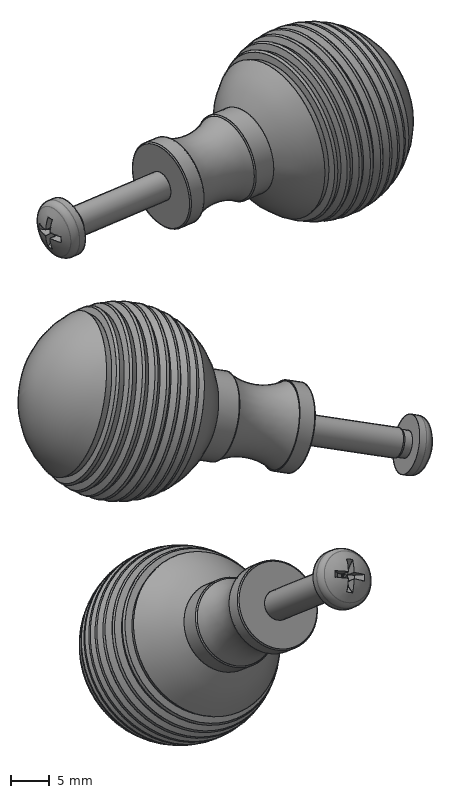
import cadquery as cq
import math


BALL_RADIUS = 13.05
BALL_CENTER = 25.6
COLLAR_RADIUS = 6.0
COLLAR_BOTTOM = 10.9
BASE_HEIGHT = 2.3
EDGE_CHAMFER = 0.2
WAIST_RADIUS = 4.8

GROOVE_COUNT = 9
GROOVE_PITCH_ANGLE = 7.5
GROOVE_MOUTH_HALF_ANGLE = 2.8
GROOVE_BOTTOM_RADIUS = 12.35
CUT_CLEARANCE = 0.3

SHANK_RADIUS = 2.0
SHANK_EMBEDMENT = 9.0
SHANK_LENGTH = 14.6
UNDERCUT_RADIUS = 1.85
UNDERCUT_TAPER = 0.3
HEAD_UNDERSIDE = -16.0
HEAD_RADIUS = 4.0
HEAD_TOP = -19.1
DOME_RADIUS = 6.0
HEAD_FILLET = 1.25

RECESS_REACH = 2.25
RECESS_WIDTH = 0.85
RECESS_MOUTH_DEPTH = 0.4
RECESS_STEP_REACH = 1.25
RECESS_STEP_DEPTH = 1.45
RECESS_DEPTH = 1.9


def revolve_about_y(profile):
    return profile.close().revolve(360, (0, 0, 0), (0, 1, 0))


def ball_point(radius, angle):
    """Point in the XY plane, with the angle measured from the ball's equator."""
    angle = math.radians(angle)
    return radius * math.cos(angle), BALL_CENTER + radius * math.sin(angle)


def make_plain_knob():
    neck_angle = -math.degrees(math.acos(COLLAR_RADIUS / BALL_RADIUS))
    chamfered_radius = COLLAR_RADIUS - EDGE_CHAMFER
    waist_height = (BASE_HEIGHT + COLLAR_BOTTOM) / 2
    profile = (
        cq.Workplane("XY")
        .lineTo(chamfered_radius, 0)
        .lineTo(COLLAR_RADIUS, EDGE_CHAMFER)
        .lineTo(COLLAR_RADIUS, BASE_HEIGHT)
        .lineTo(chamfered_radius, BASE_HEIGHT)
        .threePointArc((WAIST_RADIUS, waist_height), (chamfered_radius, COLLAR_BOTTOM))
        .lineTo(COLLAR_RADIUS, COLLAR_BOTTOM + EDGE_CHAMFER)
        .lineTo(*ball_point(BALL_RADIUS, neck_angle))
        .threePointArc(ball_point(BALL_RADIUS, 0), ball_point(BALL_RADIUS, 90))
    )
    return revolve_about_y(profile)


def make_groove_cutter(angle):
    """Ring with a V section that points at the center of the ball."""
    lower_mouth = ball_point(BALL_RADIUS, angle - GROOVE_MOUTH_HALF_ANGLE)
    upper_mouth = ball_point(BALL_RADIUS, angle + GROOVE_MOUTH_HALF_ANGLE)
    profile = (
        cq.Workplane("XY")
        .moveTo(*ball_point(GROOVE_BOTTOM_RADIUS, angle))
        .lineTo(*lower_mouth)
        .lineTo(*ball_point(BALL_RADIUS + CUT_CLEARANCE, angle))
        .lineTo(*upper_mouth)
    )
    return revolve_about_y(profile)


def make_screw_hole():
    profile = cq.Workplane("XY").rect(SHANK_RADIUS, SHANK_EMBEDMENT, centered=False)
    return profile.revolve(360, (0, 0, 0), (0, 1, 0))


def make_knob():
    knob = make_plain_knob()
    for index in range(GROOVE_COUNT):
        angle = (index - (GROOVE_COUNT - 1) / 2) * GROOVE_PITCH_ANGLE
        knob = knob.cut(make_groove_cutter(angle))
    return knob.cut(make_screw_hole())


def make_shank():
    profile = (
        cq.Workplane("XY")
        .moveTo(0, SHANK_EMBEDMENT)
        .lineTo(SHANK_RADIUS, SHANK_EMBEDMENT)
        .lineTo(SHANK_RADIUS, -SHANK_LENGTH)
        .lineTo(UNDERCUT_RADIUS, -SHANK_LENGTH - UNDERCUT_TAPER)
        .lineTo(UNDERCUT_RADIUS, HEAD_UNDERSIDE)
        .lineTo(0, HEAD_UNDERSIDE)
    )
    return revolve_about_y(profile)


def make_head():
    """Pan head: the rim fillet is tangent to both the side and the spherical dome."""
    dome_center = HEAD_TOP + DOME_RADIUS
    fillet_x = HEAD_RADIUS - HEAD_FILLET
    center_distance = DOME_RADIUS - HEAD_FILLET
    fillet_drop = math.sqrt(center_distance**2 - fillet_x**2)
    tangent_ratio = DOME_RADIUS / center_distance
    dome_edge = (fillet_x * tangent_ratio, dome_center - fillet_drop * tangent_ratio)
    profile = (
        cq.Workplane("XY")
        .moveTo(0, HEAD_UNDERSIDE)
        .lineTo(HEAD_RADIUS, HEAD_UNDERSIDE)
        .lineTo(HEAD_RADIUS, dome_center - fillet_drop)
        .tangentArcPoint(dome_edge, relative=False)
        .tangentArcPoint((0, HEAD_TOP), relative=False)
    )
    return revolve_about_y(profile)


def make_cross_recess():
    """Two crossed slots whose arms slope down steeply, then gently to a point."""
    mouth = HEAD_TOP + RECESS_MOUTH_DEPTH
    step = HEAD_TOP + RECESS_STEP_DEPTH
    slot = (
        cq.Workplane("XY")
        .moveTo(-RECESS_REACH, HEAD_TOP)
        .lineTo(-RECESS_REACH, mouth)
        .lineTo(-RECESS_STEP_REACH, step)
        .lineTo(0, HEAD_TOP + RECESS_DEPTH)
        .lineTo(RECESS_STEP_REACH, step)
        .lineTo(RECESS_REACH, mouth)
        .lineTo(RECESS_REACH, HEAD_TOP)
        .close()
        .extrude(RECESS_WIDTH / 2, both=True)
    )
    return slot.union(slot.rotate((0, 0, 0), (0, 1, 0), 90))


def make_screw():
    return make_shank().union(make_head()).cut(make_cross_recess())


knob = make_knob()
screw = make_screw()

result = cq.Compound.makeCompound([knob.val(), screw.val()])